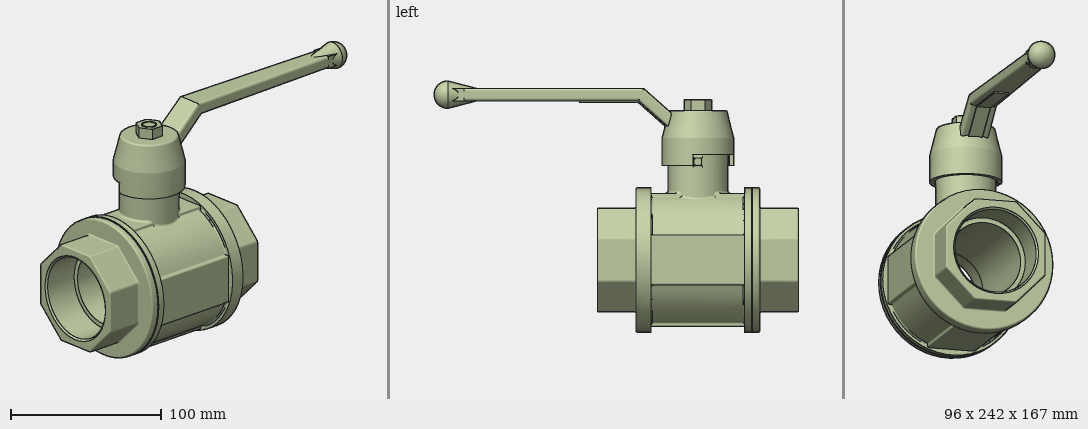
import cadquery as cq
import math


overall_length = 242.0
half_length = 66.8
bore_diameter = 50.0
socket_diameter = 56.6
socket_depth = 25.2
socket_chamfer = 1.2

flange_diameter = 96.0
flange_outer = 41.1
flange_inner = 31.0
flange_rim_radius = 1.2
groove_diameter = 95.5
groove_start = 35.5
groove_width = 0.7
octagon_flats = 69.0
octagon_corner_radius = 2.5
octagon_end_radius = 1.0
octagon_root_radius = 1.0

barrel_radius = 45.0
pad_distance = 44.3
pad_width = 33.5
pad_edge_radius = 1.2
pocket_floor_radius = 1.0

neck_diameter = 40.0
neck_top = 70.0
neck_root_radius = 1.7
stop_width = 5.0
stop_bottom = 62.7
stop_reach = 23.7
stop_end_radius = 0.7
stop_root_radius = 1.0

stem_diameter = 10.0
stem_chamfer = 0.6

hub_diameter = 48.0
hub_top_diameter = 38.7
hub_bottom = 62.7
hub_shoulder = 80.8
hub_top = 99.2
hub_edge_radius = 1.5
skirt_bore = 42.0
skirt_notch_offset = 3.5

nut_flats = 16.0
nut_height = 7.3
nut_chamfer_angle = 30
nut_face_diameter = 17.5

lever_top = 114.0
lever_thickness = 8.5
bend_y = 36.0
arm_angle = 41.5
arm_start_y = 12.0
lever_start_width = 19.5
lever_end_width = 14.3
lever_edge_radius = 2.0
lever_round_end = 155.4
strip_width = 9.7
strip_thickness = 1.0
strip_end = 78.6

knob_radius = 9.2
knob_y = overall_length - half_length - knob_radius
knob_cone_length = 24.2
knob_cone_end_radius = 3.0

nut_top = hub_top + nut_height

tolerance = 0.02


def edges_where(body, test):
    """The body with only those of its edges selected that pass the test."""
    return body.newObject([edge for edge in body.edges().vals() if test(edge)])


def cylinder_y(diameter, start, end):
    """Cylinder on the bore axis between two Y positions."""
    return cq.Workplane("XZ", origin=(0, start, 0)).circle(diameter / 2).extrude(start - end)


def make_flange():
    """Flange at the -Y side."""
    flange = cylinder_y(flange_diameter, -flange_outer, -flange_inner)
    return flange.faces("<Y").edges().fillet(flange_rim_radius)


def make_octagon():
    """Octagonal end at the -Y side, flared where it meets the flange."""
    corner_diameter = octagon_flats / math.cos(math.pi / 8)
    octagon = cq.Workplane("XZ", origin=(0, -flange_inner, 0))
    octagon = octagon.transformed(rotate=(0, 0, 180 / 8)).polygon(8, corner_diameter)
    octagon = octagon.extrude(half_length - flange_inner)
    octagon = octagon.edges("|Y").fillet(octagon_corner_radius)
    return octagon.faces("<Y").edges().fillet(octagon_end_radius)


def make_end():
    """Flange and octagon of the -Y side with a fillet between them."""
    end = make_flange().union(make_octagon())
    rim = flange_diameter / 2 - flange_rim_radius

    def is_octagon_root(edge):
        box = edge.BoundingBox()
        on_face = abs(box.ymin + flange_outer) < tolerance and abs(box.ymax + flange_outer) < tolerance
        return on_face and box.xmax - box.xmin < rim

    return edges_where(end, is_octagon_root).fillet(octagon_root_radius)


def make_socket():
    """Space inside the -Y end with its chamfered mouth."""
    floor = -half_length + socket_depth
    return cq.Workplane("XY").polyline([
        (0, -half_length),
        (socket_diameter / 2 + socket_chamfer, -half_length),
        (socket_diameter / 2, -half_length + socket_chamfer),
        (socket_diameter / 2, floor),
        (0, floor),
    ]).close().revolve(360, (0, 0, 0), (0, 1, 0))


def turned(body):
    """The same shape at the +Y side."""
    return body.rotate((0, 0, 0), (0, 0, 1), 180)


def make_pocket():
    """Space above the low arc between two pads, with a rounded rim to its floor."""
    half_pad = pad_width / 2
    length = 2 * flange_inner
    pocket = cq.Workplane("XY").box(pad_distance, length, pad_distance, centered=(False, True, False))
    pocket = pocket.translate((half_pad, 0, half_pad))
    pocket = pocket.cut(cylinder_y(2 * barrel_radius, -flange_inner, flange_inner))
    return pocket.faces("%CYLINDER").edges().fillet(pocket_floor_radius)


def make_barrel():
    """Middle with four flat pads and a pocket between each two of them, joining both ends."""
    barrel = cq.Workplane("XY").box(2 * pad_distance, 2 * flange_inner, 2 * pad_distance)
    end = make_end()
    barrel = barrel.union(end).union(turned(end))
    pocket = make_pocket()
    for quarter in range(4):
        barrel = barrel.cut(pocket.rotate((0, 0, 0), (0, 1, 0), 90 * quarter))
    pad_corner = math.hypot(pad_distance, pad_width / 2)

    def is_pad_edge(edge):
        middle = edge.Center()
        between_flanges = abs(middle.y) < tolerance
        return between_flanges and abs(math.hypot(middle.x, middle.z) - pad_corner) < tolerance

    return edges_where(barrel, is_pad_edge).fillet(pad_edge_radius)


def make_groove():
    ring = cylinder_y(2 * flange_diameter, -groove_start - groove_width, -groove_start)
    return ring.cut(cylinder_y(groove_diameter, -flange_outer, -flange_inner))


def make_neck():
    """Neck with the square stop on its -X side."""
    neck = cq.Workplane("XY").circle(neck_diameter / 2).extrude(neck_top)
    stop = cq.Workplane("XY").box(stop_reach, stop_width, stop_width, centered=(False, True, False))
    stop = stop.translate((-stop_reach, 0, stop_bottom))
    stop = stop.faces("<X").edges().fillet(stop_end_radius)

    def is_stop_root(edge):
        box = edge.BoundingBox()
        on_neck = box.xmin > -neck_diameter / 2 - tolerance and box.xmax < 0
        return on_neck and box.ymax - box.ymin < stop_width + tolerance and box.zmin > 0

    return edges_where(neck.union(stop), is_stop_root).fillet(stop_root_radius)


def on_neck(edge):
    """Whether an edge lies on the surface of the neck."""
    ends = [edge.positionAt(place) for place in (0, 0.5, 1)]
    return all(abs(math.hypot(point.x, point.y) - neck_diameter / 2) < tolerance for point in ends)


def make_tee():
    """Barrel, ends and neck with a fillet around the foot of the neck."""
    tee = make_barrel().union(make_neck())

    def is_neck_root(edge):
        box = edge.BoundingBox()
        return 0 < box.zmin and box.zmax < pad_distance + tolerance and on_neck(edge)

    return edges_where(tee, is_neck_root).fillet(neck_root_radius)


def stem_cylinder():
    """Full length of the stem above the neck, also the shape of the hole around it."""
    stem = cq.Workplane("XY", origin=(0, 0, neck_top)).circle(stem_diameter / 2)
    return stem.extrude(nut_top - neck_top)


def make_stem():
    return stem_cylinder().faces(">Z").edges().chamfer(stem_chamfer)


def make_housing():
    socket = make_socket()
    housing = make_tee().cut(make_groove())
    housing = housing.cut(cylinder_y(bore_diameter, -half_length, half_length))
    housing = housing.cut(socket).cut(turned(socket))
    return housing.union(make_stem())


def make_hub():
    hub = cq.Workplane("XY", origin=(0, 0, hub_bottom)).circle(hub_diameter / 2)
    hub = hub.extrude(hub_shoulder - hub_bottom)
    cone = cq.Workplane("XY", origin=(0, 0, hub_shoulder)).circle(hub_diameter / 2)
    cone = cone.workplane(offset=hub_top - hub_shoulder).circle(hub_top_diameter / 2).loft()
    return hub.union(cone.faces(">Z").edges().fillet(hub_edge_radius))


def lever_profile(thickness, end_y, width):
    """Bent bar of one width, from inside the hub to end_y."""
    slope = math.tan(math.radians(arm_angle))
    bottom = lever_top - thickness
    lower_bend_y = bend_y + thickness * math.tan(math.radians(arm_angle / 2))
    profile = cq.Workplane("YZ").polyline([
        (arm_start_y, lever_top - slope * (bend_y - arm_start_y)),
        (bend_y, lever_top),
        (end_y, lever_top),
        (end_y, bottom),
        (lower_bend_y, bottom),
        (arm_start_y, bottom - slope * (lower_bend_y - arm_start_y)),
    ]).close()
    return profile.extrude(width / 2, both=True)


def lever_part(start, end):
    """Stretch of the tapered lever between two Y positions."""
    taper = (lever_start_width - lever_end_width) / (knob_y - arm_start_y)
    half_start = (lever_start_width - taper * (start - arm_start_y)) / 2
    half_end = (lever_start_width - taper * (end - arm_start_y)) / 2
    outline = cq.Workplane("XY").polyline([
        (-half_start, start), (half_start, start), (half_end, end), (-half_end, end),
    ]).close().extrude(2 * lever_top)
    return lever_profile(lever_thickness, end, lever_start_width).intersect(outline)


def make_lever():
    """Lever with rounded long edges up to the knob and a strip along its underside."""
    rounded = lever_part(arm_start_y, lever_round_end)

    def runs_along(edge):
        box = edge.BoundingBox()
        return box.ymax - box.ymin > lever_thickness

    rounded = edges_where(rounded, runs_along).fillet(lever_edge_radius)
    strip = lever_profile(lever_thickness + strip_thickness, strip_end, strip_width)
    return rounded.union(lever_part(lever_round_end, knob_y)).union(strip)


def make_knob():
    """Half ball with a cone running back along the lever."""
    cone_start = knob_y - knob_cone_length
    outline = cq.Workplane("YZ").moveTo(cone_start, 0).lineTo(cone_start, knob_cone_end_radius)
    outline = outline.lineTo(knob_y, knob_radius)
    outline = outline.radiusArc((knob_y + knob_radius, 0), knob_radius).close()
    knob = outline.revolve(360, (0, 0, 0), (1, 0, 0))
    return knob.translate((0, 0, lever_top - lever_thickness / 2))


def make_skirt_opening():
    """Space for the neck, with the quarter of the skirt in which the stop travels."""
    depth = neck_top - hub_bottom
    bore = cq.Workplane("XY", origin=(0, 0, hub_bottom)).circle(skirt_bore / 2).extrude(depth)
    quarter = cq.Workplane("XY").box(hub_diameter, hub_diameter, depth, centered=False)
    corner_x = -skirt_notch_offset - hub_diameter
    corner_y = skirt_notch_offset - hub_diameter
    return bore.union(quarter.translate((corner_x, corner_y, hub_bottom)))


def make_handle():
    handle = make_hub().union(make_lever()).union(make_knob())
    return handle.cut(make_skirt_opening()).cut(stem_cylinder())


def make_nut():
    """Hexagon nut whose top corners are turned off by a cone."""
    corner_diameter = nut_flats / math.cos(math.pi / 6)
    nut = cq.Workplane("XY", origin=(0, 0, hub_top)).transformed(rotate=(0, 0, 30))
    nut = nut.polygon(6, corner_diameter).extrude(nut_height)
    cone_drop = math.tan(math.radians(nut_chamfer_angle)) * (corner_diameter - nut_face_diameter) / 2
    envelope = cq.Workplane("XZ").polyline([
        (0, hub_top),
        (corner_diameter / 2, hub_top),
        (corner_diameter / 2, nut_top - cone_drop),
        (nut_face_diameter / 2, nut_top),
        (0, nut_top),
    ]).close().revolve(360, (0, 0, 0), (0, 1, 0))
    return nut.intersect(envelope).cut(stem_cylinder())


housing = make_housing()
handle = make_handle()
nut = make_nut()

result = cq.Compound.makeCompound([housing.val(), handle.val(), nut.val()])